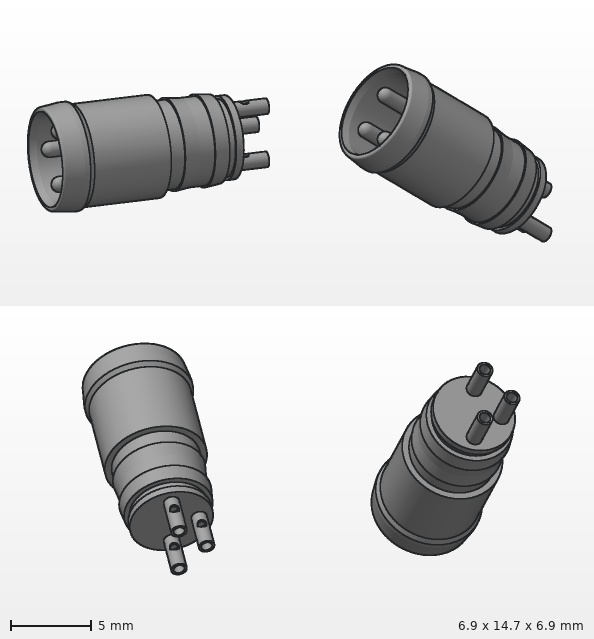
import cadquery as cq

TOTAL_LENGTH = 14.7
PIN_TAIL_LENGTH = 2.5
BODY_LENGTH = TOTAL_LENGTH - PIN_TAIL_LENGTH

HEAD_DIAMETER = 6.9
MOUTH_DIAMETER = 6.59
MOUTH_ROUND = 0.15
HEAD_TAPER_END = 1.35
HEAD_BAND_END = 1.7
HEAD_END = 2.05
SLEEVE_DIAMETER = 6.5
SLEEVE_END = 7.15

CORE_DIAMETER = 5.63
BARB_DIAMETER = 5.88
BARB_LENGTH = 1.0
BARB_FRONTS = (8.2, 10.2)
NECK_DIAMETER = 4.95
FLANGE_DIAMETER = 5.3
FLANGE_THICKNESS = 0.5

SOCKET_DIAMETER = 5.78
SOCKET_MOUTH_DIAMETER = 6.01
LEAD_IN_DEPTH = 0.5
SOCKET_DEPTH = 5.88

PIN_DIAMETER = 1.0
PIN_RADIUS = PIN_DIAMETER / 2
PIN_OFFSET = 1.75
PIN_TIP = 0.41
PIN_POSITIONS = ((-PIN_OFFSET, 0), (0, PIN_OFFSET), (0, -PIN_OFFSET))
SOLDER_HOLE_DIAMETER = 0.6
SOLDER_HOLE_Y = 13.2
SOLDER_CUP_DIAMETER = 0.7
SOLDER_CUP_DEPTH = 2.0

COLLAR_DIAMETER = 1.22
COLLAR_HEIGHT = 1.0


def make_body():
    """Revolve the outside profile of the housing about Y."""
    head_radius = HEAD_DIAMETER / 2
    mouth_radius = MOUTH_DIAMETER / 2
    sleeve_radius = SLEEVE_DIAMETER / 2
    core_radius = CORE_DIAMETER / 2
    neck_radius = NECK_DIAMETER / 2
    flange_radius = FLANGE_DIAMETER / 2
    flange_front = BODY_LENGTH - FLANGE_THICKNESS

    profile = (
        cq.Workplane("XY")
        .lineTo(mouth_radius - MOUTH_ROUND, 0)
        .radiusArc((mouth_radius, MOUTH_ROUND), -MOUTH_ROUND)
        .lineTo(head_radius, HEAD_TAPER_END)
        .lineTo(head_radius, HEAD_BAND_END)
        .lineTo(sleeve_radius, HEAD_END)
        .lineTo(sleeve_radius, SLEEVE_END)
        .lineTo(core_radius, SLEEVE_END)
    )
    for barb_front in BARB_FRONTS:
        profile = (
            profile.lineTo(core_radius, barb_front)
            .lineTo(BARB_DIAMETER / 2, barb_front)
            .lineTo(core_radius, barb_front + BARB_LENGTH)
        )
    profile = (
        profile.lineTo(neck_radius, BARB_FRONTS[-1] + BARB_LENGTH)
        .lineTo(neck_radius, flange_front)
        .lineTo(flange_radius, flange_front)
        .lineTo(flange_radius, BODY_LENGTH)
        .lineTo(0, BODY_LENGTH)
        .close()
    )
    return profile.revolve(360, (0, 0), (0, 1))


def make_socket():
    """Revolve the socket cavity, with its tapered lead-in, about Y."""
    return (
        cq.Workplane("XY")
        .lineTo(SOCKET_MOUTH_DIAMETER / 2, 0)
        .lineTo(SOCKET_DIAMETER / 2, LEAD_IN_DEPTH)
        .lineTo(SOCKET_DIAMETER / 2, SOCKET_DEPTH)
        .lineTo(0, SOCKET_DEPTH)
        .close()
        .revolve(360, (0, 0), (0, 1))
    )


def make_pin(x, z):
    """Make a full-length pin with a domed tip and a side hole into its solder cup."""
    pin = (
        cq.Workplane("XY")
        .moveTo(0, PIN_TIP)
        .radiusArc((PIN_RADIUS, PIN_TIP + PIN_RADIUS), -PIN_RADIUS)
        .lineTo(PIN_RADIUS, TOTAL_LENGTH)
        .lineTo(0, TOTAL_LENGTH)
        .close()
        .revolve(360, (0, 0), (0, 1))
    )
    solder_hole = (
        cq.Workplane("XY")
        .center(0, SOLDER_HOLE_Y)
        .circle(SOLDER_HOLE_DIAMETER / 2)
        .extrude(PIN_DIAMETER)
    )
    solder_cup = (
        cq.Workplane("XZ", origin=(0, TOTAL_LENGTH, 0))
        .circle(SOLDER_CUP_DIAMETER / 2)
        .extrude(SOLDER_CUP_DEPTH)
    )
    return pin.cut(solder_hole).cut(solder_cup).translate((x, 0, z))


def make_pin_collar(x, z):
    """Make the cone that narrows from the socket floor to the pin surface."""
    return (
        cq.Workplane("XY")
        .moveTo(0, SOCKET_DEPTH)
        .lineTo(COLLAR_DIAMETER / 2, SOCKET_DEPTH)
        .lineTo(PIN_RADIUS, SOCKET_DEPTH - COLLAR_HEIGHT)
        .lineTo(0, SOCKET_DEPTH - COLLAR_HEIGHT)
        .close()
        .revolve(360, (0, 0), (0, 1))
        .translate((x, 0, z))
    )


result = make_body().cut(make_socket())
for pin_x, pin_z in PIN_POSITIONS:
    result = result.union(make_pin_collar(pin_x, pin_z))
    result = result.union(make_pin(pin_x, pin_z))